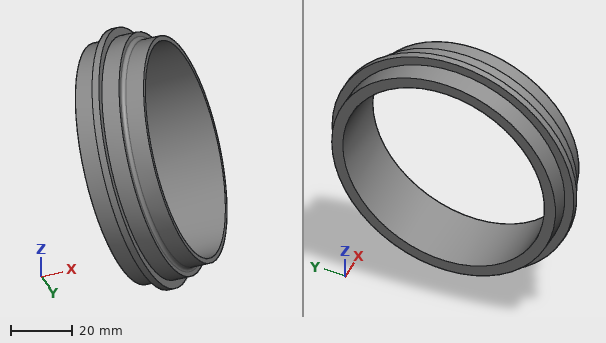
import cadquery as cq

bore_diameter = 72.9
front_collar_diameter = 80.95
flange_diameter = 87.48
rear_collar_diameter = 81.89
spigot_diameter = 76.2

front_collar_length = 7.14
flange_thickness = 2.38
rear_collar_length = 6.0
total_length = 23.01

fillet_radius = 1.27

flange_start = front_collar_length
flange_end = flange_start + flange_thickness
shoulder = flange_end + rear_collar_length
fillet_end = shoulder + fillet_radius

bore_radius = bore_diameter / 2
front_collar_radius = front_collar_diameter / 2
flange_radius = flange_diameter / 2
rear_collar_radius = rear_collar_diameter / 2
spigot_radius = spigot_diameter / 2


def ring_profile():
    """Half section of the ring: X is the axial position, Y the radius."""
    return (
        cq.Workplane("XY")
        .moveTo(0, bore_radius)
        .lineTo(0, front_collar_radius)
        .lineTo(flange_start, front_collar_radius)
        .lineTo(flange_start, flange_radius)
        .lineTo(flange_end, flange_radius)
        .lineTo(flange_end, rear_collar_radius)
        .lineTo(shoulder, rear_collar_radius)
        .lineTo(shoulder, spigot_radius + fillet_radius)
        .radiusArc((fillet_end, spigot_radius), -fillet_radius)
        .lineTo(total_length, spigot_radius)
        .lineTo(total_length, bore_radius)
        .close()
    )


result = ring_profile().revolve(360, (0, 0, 0), (1, 0, 0))